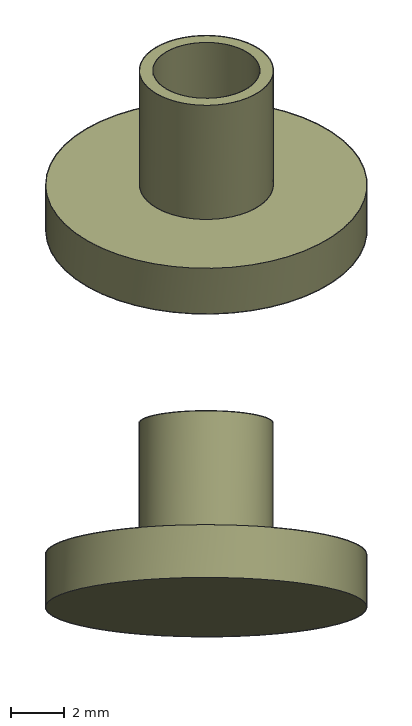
import cadquery as cq

flange_diameter = 12.0
flange_thickness = 2.0
total_height = 7.0
tube_outer_diameter = 5.0
tube_inner_diameter = 4.0

tube_height = total_height - flange_thickness

flange = cq.Workplane("XY").circle(flange_diameter / 2).extrude(flange_thickness)

tube = (
    cq.Workplane("XY")
    .workplane(offset=flange_thickness)
    .circle(tube_outer_diameter / 2)
    .circle(tube_inner_diameter / 2)
    .extrude(tube_height)
)

result = flange.union(tube)